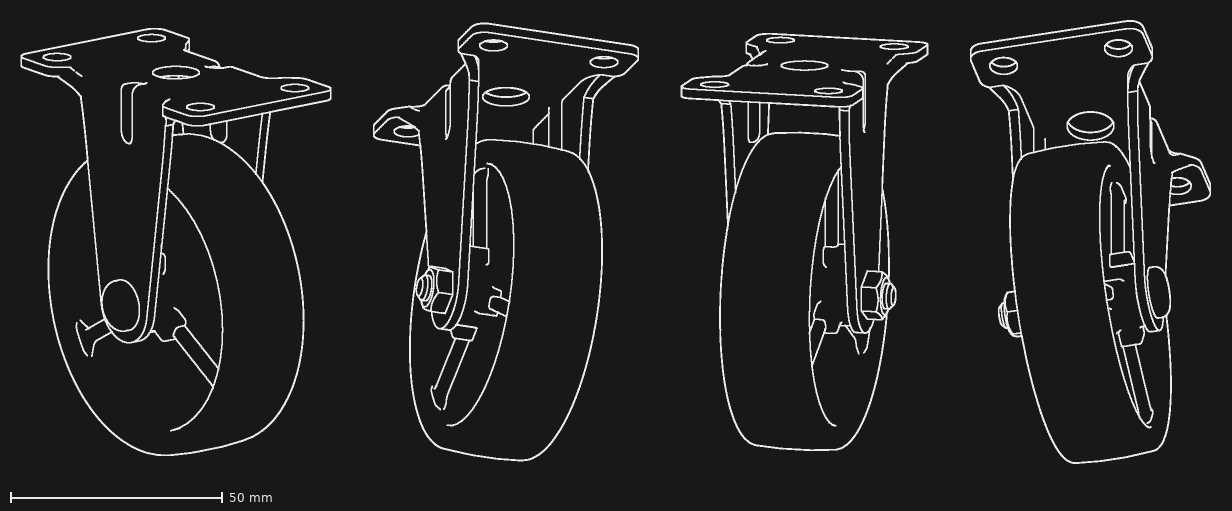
import cadquery as cq
import math


overall_height = 92.0
wheel_radius = 37.5
axle_z = wheel_radius - overall_height
pick_margin = 0.05

sheet = 2.3
plate_length = 70.0
plate_width = 42.0
ear_radius = 3.2
ear_slope = 49.0
waist_half_width = 15.5
waist_half_length = 17.2
waist_radius = 5.15
bend_radius = sheet
bend_fade_power = 1.5

mount_hole_diameter = 6.5
mount_hole_spacing_x = 56.0
mount_hole_spacing_y = mount_hole_spacing_x / 2
center_hole_diameter = 11.0

leg_inner = waist_half_width - sheet
leg_tip_radius = 9.0
leg_shoulder_x = 16.6
leg_shoulder_z = -6.9
leg_root_x = 20.7
leg_prism_depth = leg_tip_radius - axle_z + sheet

groove_radius = 2.6
groove_depth = 1.2
groove_fillet = 1.0
groove_center_y = 12.2
groove_center_z = -12.4

bead_height = 1.8
bead_radius = groove_radius
bead_fillet = 1.75
bead_root_fillet = 0.7
bead_center_z = -16.65

wheel_half_width = 10.5
tread_edge_radius = 36.9
tread_fillet = 1.4
rim_inner_radius = 31.3
rim_lip_fillet = 1.1
web_half_thickness = 5.5
web_fillet = 0.9

hub_radius = 7.5
hub_half_length = 12.0
hub_edge_fillet = 0.4

spoke_angles = (90, 210, 330)
spoke_width = 3.1
spoke_half_height = 8.0
spoke_fillet = 0.8
spoke_root_radius = 2.8

lug_width = 6.1
lug_reach = 11.4
lug_fillet = 0.8
lug_root_fillet = 0.7

shank_radius = 3.4
head_radius = 6.1
head_height = 2.9
head_fillet = 2.0
nut_corner_turn = 30
nut_across_flats = 10.0
nut_height = 4.5
nut_face_radius = 4.4
nut_chamfer_height = 0.9
thread_radius = 3.0
thread_end = 21.9
thread_chamfer = 0.9


def hourglass(depth):
    """Hourglass prism with rounded plan corners, from z = 0 down to -depth."""
    half_length = plate_length / 2
    half_width = plate_width / 2
    ear_rise = half_width - waist_half_width
    shoulder_x = waist_half_length + ear_rise / math.tan(math.radians(ear_slope))
    quarter = [
        (waist_half_length, waist_half_width),
        (shoulder_x, half_width),
        (half_length, half_width),
    ]
    right_side = quarter + [(x, -y) for x, y in reversed(quarter)]
    left_side = [(-x, -y) for x, y in right_side]
    prism = cq.Workplane("XY").polyline(right_side + left_side).close().extrude(-depth)

    ear_start = (waist_half_length + shoulder_x) / 2
    for side in (-1, 1):
        for inner, outer, radius in (
            (0, ear_start, waist_radius),
            (ear_start, plate_length, ear_radius),
        ):
            low, high = sorted((side * inner, side * outer))
            corners = cq.selectors.BoxSelector((low, -plate_width, -depth), (high, plate_width, 0))
            prism = prism.edges("|Z").edges(corners).fillet(radius)
    return prism


def leg_silhouette():
    """Shape of both legs along Y: flared shoulders, tapered sides, round tip."""
    rise = leg_shoulder_z - axle_z
    reach = math.hypot(leg_shoulder_x, rise)
    tangent = math.atan2(rise, leg_shoulder_x) - math.acos(leg_tip_radius / reach)
    tip_x = leg_tip_radius * math.cos(tangent)
    tip_z = axle_z + leg_tip_radius * math.sin(tangent)
    return (
        cq.Workplane("XZ")
        .moveTo(-leg_root_x, 0)
        .lineTo(-leg_root_x, -sheet)
        .lineTo(-leg_shoulder_x, leg_shoulder_z)
        .lineTo(-tip_x, tip_z)
        .threePointArc((0, axle_z - leg_tip_radius), (tip_x, tip_z))
        .lineTo(leg_shoulder_x, leg_shoulder_z)
        .lineTo(leg_root_x, -sheet)
        .lineTo(leg_root_x, 0)
        .close()
        .extrude(plate_width, both=True)
    )


def legs():
    """Two walls that follow the hourglass plan one sheet thick, trimmed to the leg shape."""
    outer = hourglass(leg_prism_depth)
    outline = outer.faces("<Z").wires().toPending()
    inner = outline.offset2D(-sheet).extrude(leg_prism_depth, combine=False)
    return outer.cut(inner).intersect(leg_silhouette())


def corner_section(radius, origin, outward):
    """Closed section between a square top edge at `origin` and its rounding."""
    normal = cq.Vector(*outward).cross(cq.Vector(0, 0, 1))
    plane = cq.Plane(origin=origin, xDir=outward, normal=normal)
    middle = radius * (1 - math.sqrt(0.5))
    return (
        cq.Workplane(plane)
        .moveTo(0, -radius)
        .threePointArc((-middle, -middle), (-radius, 0))
        .lineTo(-radius, radius)
        .lineTo(radius, radius)
        .lineTo(radius, -radius)
        .close()
        .val()
    )


def corner_waste(half_length, level_y, level_z, radius):
    """Waste along X that rounds the square edge at (level_y, level_z)."""
    ends = [
        corner_section(radius, (x, level_y, level_z), (0, 1, 0))
        for x in (-half_length, half_length)
    ]
    return cq.Workplane(cq.Solid.makeLoft(ends, True))


def bend_waste():
    """Waste of the +Y bend: the straight waist and two ends that fade to nothing."""
    arc_x = waist_half_length - waist_radius * math.tan(math.radians(ear_slope / 2))
    arc_y = waist_half_width + waist_radius
    sections = []
    for progress in (0.0, 0.33, 0.66, 0.97):
        turn = math.radians(ear_slope * progress)
        radius = bend_radius * (1 - progress**bend_fade_power)
        outward = (-math.sin(turn), math.cos(turn), 0)
        origin = (arc_x - waist_radius * outward[0], arc_y - waist_radius * outward[1], 0)
        sections.append(corner_section(radius, origin, outward))
    fade = cq.Workplane(cq.Solid.makeLoft(sections))
    straight = corner_waste(arc_x, waist_half_width, 0, bend_radius)
    return straight, fade, fade.mirror("YZ")


def round_ended_bar(plane_name, origin, radius, run, depth):
    """Prism with a half-round end about `origin` that runs straight along the plane's local Y."""
    return (
        cq.Workplane(cq.Plane.named(plane_name, origin))
        .moveTo(-radius, 0)
        .threePointArc((0, -radius), (radius, 0))
        .lineTo(radius, run)
        .lineTo(-radius, run)
        .close()
        .extrude(depth)
    )


def groove_cutter():
    """Channel over the +Y bend: along the plate, round the edge and down the leg."""
    floor_y = waist_half_width - groove_depth
    plate_start = (0, groove_center_y, -groove_depth)
    leg_start = (0, floor_y, groove_center_z)
    on_plate = round_ended_bar("XY", plate_start, groove_radius, waist_half_width, sheet)
    on_leg = round_ended_bar("XZ", leg_start, groove_radius, sheet - groove_center_z, -sheet)
    edge = corner_waste(groove_radius, floor_y, -groove_depth, bend_radius - groove_depth)
    return on_plate.union(on_leg).union(edge)


def groove_rim():
    """Selector of the groove's outer edges on the plate, the bend and the +Y leg."""
    half = groove_radius + groove_fillet / 2
    bend_middle = bend_radius * (1 - math.sqrt(0.5))
    bend_y = waist_half_width - bend_middle
    bend_margin = 4 * pick_margin

    def box(low_y, high_y, low_z, high_z):
        return cq.selectors.BoxSelector((-half, low_y, low_z), (half, high_y, high_z))

    on_plate = box(0, waist_half_width, -pick_margin, pick_margin)
    on_leg = box(waist_half_width - pick_margin, waist_half_width + pick_margin, axle_z / 2, 0)
    on_bend = box(
        bend_y - bend_margin,
        bend_y + bend_margin,
        -bend_middle - bend_margin,
        -bend_middle + bend_margin,
    )
    return on_plate + on_leg + on_bend


def bead():
    """Raised stiffening bead on the inner face of the +Y leg, behind the groove."""
    start = (0, leg_inner - bead_height, bead_center_z)
    bar = round_ended_bar("XZ", start, bead_radius, -sheet - bead_center_z, -bead_height)
    return bar.faces("<Y").edges("not >Z").fillet(bead_fillet)


def bead_root():
    """Selector of the edges where the +Y bead meets the underside of the plate."""
    half = bead_radius + pick_margin
    return cq.selectors.BoxSelector(
        (-half, leg_inner - bead_height - pick_margin, -sheet - pick_margin),
        (half, leg_inner - pick_margin, -sheet + pick_margin),
    )


def bracket_holes():
    """Four mounting holes, the centre hole and the axle holes of both legs."""
    mounting = (
        cq.Workplane("XY")
        .rect(mount_hole_spacing_x, mount_hole_spacing_y, forConstruction=True)
        .vertices()
        .circle(mount_hole_diameter / 2)
        .extrude(-sheet)
    )
    center = cq.Workplane("XY").circle(center_hole_diameter / 2).extrude(-sheet)
    axle_hole = (
        cq.Workplane("XZ", origin=(0, 0, axle_z))
        .circle(shank_radius)
        .extrude(waist_half_width, both=True)
    )
    return mounting, center, axle_hole


def bracket_body():
    """Plate and two legs bent from one sheet, with a groove and a bead at each bend."""
    body = hourglass(sheet).union(legs())
    for _ in range(2):
        for waste in bend_waste():
            body = body.cut(waste)
        body = body.cut(groove_cutter())
        body = body.edges(groove_rim()).fillet(groove_fillet)
        body = body.union(bead())
        body = body.edges(bead_root()).fillet(bead_root_fillet)
        body = body.mirror("XZ")
    for hole in bracket_holes():
        body = body.cut(hole)
    return body


def wheel_disc():
    """Revolved wheel about Y: crowned tread, web recessed on both sides and a long hub."""
    disc = (
        cq.Workplane("XY")
        .moveTo(0, -hub_half_length)
        .lineTo(hub_radius, -hub_half_length)
        .lineTo(hub_radius, -web_half_thickness)
        .lineTo(rim_inner_radius, -web_half_thickness)
        .lineTo(rim_inner_radius, -wheel_half_width)
        .lineTo(tread_edge_radius, -wheel_half_width)
        .threePointArc((wheel_radius, 0), (tread_edge_radius, wheel_half_width))
        .lineTo(rim_inner_radius, wheel_half_width)
        .lineTo(rim_inner_radius, web_half_thickness)
        .lineTo(hub_radius, web_half_thickness)
        .lineTo(hub_radius, hub_half_length)
        .lineTo(0, hub_half_length)
        .close()
        .revolve(360, (0, 0, 0), (0, 1, 0))
    )
    for radius, level, fillet in (
        (tread_edge_radius, wheel_half_width, tread_fillet),
        (rim_inner_radius, wheel_half_width, rim_lip_fillet),
        (rim_inner_radius, web_half_thickness, web_fillet),
        (hub_radius, web_half_thickness, web_fillet),
        (hub_radius, hub_half_length, hub_edge_fillet),
    ):
        circles = [
            edge
            for edge in disc.edges("%CIRCLE").vals()
            if abs(edge.radius() - radius) < pick_margin
            and abs(abs(edge.Center().y) - level) < pick_margin
        ]
        disc = disc.newObject(circles).fillet(fillet)
    return disc


def spoke_plan():
    """Plan of one spoke along +X from the axis: straight sides that flare into the rim wall."""
    half = spoke_width / 2
    flare_y = half + spoke_root_radius
    flare_x = math.sqrt((rim_inner_radius - spoke_root_radius) ** 2 - flare_y**2)
    rim_angle = math.atan2(flare_y, flare_x)
    middle_angle = (rim_angle - math.pi / 2) / 2
    middle_x = flare_x + spoke_root_radius * math.cos(middle_angle)
    middle_y = flare_y + spoke_root_radius * math.sin(middle_angle)
    wall_x = rim_inner_radius * math.cos(rim_angle)
    wall_y = rim_inner_radius * math.sin(rim_angle)
    buried_x = wall_x + rim_lip_fillet
    return (
        cq.Workplane("XZ")
        .moveTo(0, -half)
        .lineTo(flare_x, -half)
        .threePointArc((middle_x, -middle_y), (wall_x, -wall_y))
        .lineTo(buried_x, -wall_y)
        .lineTo(buried_x, wall_y)
        .lineTo(wall_x, wall_y)
        .threePointArc((middle_x, middle_y), (flare_x, half))
        .lineTo(0, half)
        .close()
    )


def lugged_hub():
    """Middle of the hub with one block-shaped lug toward +X, blended into the hub."""
    lug_half_length = wheel_half_width
    lug = (
        cq.Workplane("XY")
        .box(lug_reach, 2 * lug_half_length, lug_width)
        .translate((lug_reach / 2, 0, 0))
        .edges("not <X")
        .fillet(lug_fillet)
    )
    core = (
        cq.Workplane("XZ")
        .circle(hub_radius)
        .extrude(hub_half_length - hub_edge_fillet, both=True)
        .rotate((0, 0, 0), (0, 1, 0), 180)
    )
    high_y = lug_half_length + pick_margin
    high_z = lug_width / 2 + pick_margin
    lug_root = cq.selectors.BoxSelector(
        (hub_radius / 2, -high_y, -high_z),
        (hub_radius + pick_margin, high_y, high_z),
    )
    return core.union(lug).edges(lug_root).fillet(lug_root_fillet)


def spoke():
    """Radial rib with its lug at the hub, raised on both faces of the web, along +X."""
    rib = spoke_plan().extrude(spoke_half_height, both=True)
    rib = rib.faces("<Y or >Y").edges("not (<X or >X)").fillet(spoke_fillet)
    return rib.union(lugged_hub())


def wheel_body():
    """Wheel with three spokes and a through bore, moved to the axle height."""
    wheel = wheel_disc()
    for angle in spoke_angles:
        wheel = wheel.union(spoke().rotate((0, 0, 0), (0, 1, 0), -angle))
    bore = cq.Workplane("XZ").circle(shank_radius).extrude(hub_half_length, both=True)
    return wheel.cut(bore).translate((0, 0, axle_z))


def bolt():
    """Bolt about Y: rounded head at -Y, shank through both legs, chamfered thread at +Y."""
    head_end = -waist_half_width - head_height
    profile = (
        cq.Workplane("XY")
        .moveTo(0, head_end)
        .lineTo(head_radius, head_end)
        .lineTo(head_radius, -waist_half_width)
        .lineTo(shank_radius, -waist_half_width)
        .lineTo(shank_radius, waist_half_width)
        .lineTo(thread_radius, waist_half_width)
        .lineTo(thread_radius, thread_end)
        .lineTo(0, thread_end)
        .close()
    )
    turned = profile.revolve(360, (0, 0, 0), (0, 1, 0))
    return turned.edges("<Y").fillet(head_fillet).edges(">Y").chamfer(thread_chamfer)


def nut():
    """Hexagon nut against the +Y leg, one corner up, with a conical outer chamfer."""
    corner_radius = nut_across_flats / math.sqrt(3)
    nut_end = waist_half_width + nut_height
    hexagon = (
        cq.Workplane("XZ", origin=(0, waist_half_width, 0))
        .polygon(6, 2 * corner_radius)
        .extrude(-nut_height)
        .rotate((0, 0, 0), (0, 1, 0), nut_corner_turn)
    )
    chamfered_round = (
        cq.Workplane("XY")
        .moveTo(0, waist_half_width)
        .lineTo(corner_radius, waist_half_width)
        .lineTo(corner_radius, nut_end - nut_chamfer_height)
        .lineTo(nut_face_radius, nut_end)
        .lineTo(0, nut_end)
        .close()
        .revolve(360, (0, 0, 0), (0, 1, 0))
    )
    return hexagon.intersect(chamfered_round)


def axle_body():
    """Bolt and nut as one body at the axle height."""
    return bolt().union(nut()).translate((0, 0, axle_z))


bracket = bracket_body()
wheel = wheel_body()
axle = axle_body()
result = cq.Compound.makeCompound(
    [*bracket.solids().vals(), *wheel.solids().vals(), *axle.solids().vals()]
)